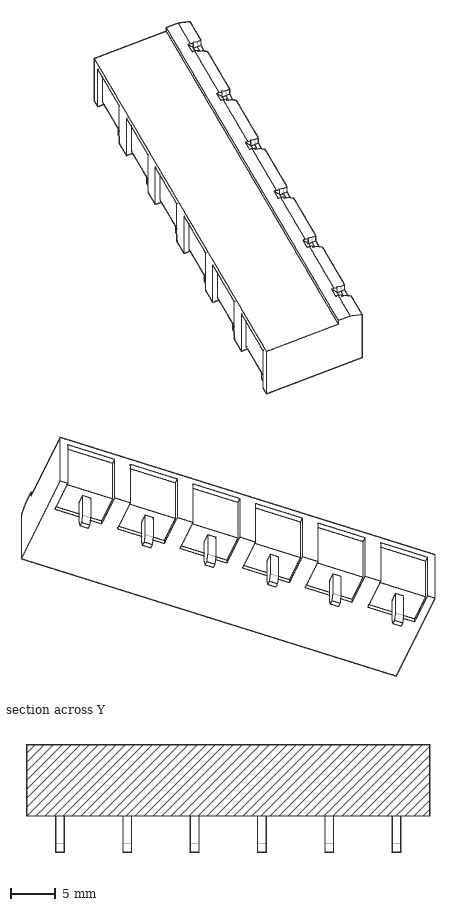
import cadquery as cq

pole_count = 6
pitch = 7.62
pole_positions = [pole * pitch for pole in range(pole_count)]

end_margin = 3.78
housing_depth = 12.0
housing_height = 8.8
front_y = -1.95
back_y = front_y + housing_depth
left_x = -end_margin
housing_length = pole_positions[-1] + 2 * end_margin

ridge_width = 3.0
ridge_height = 0.7
bevel_run = 1.5
bevel_drop = 0.6
deck_z = housing_height - ridge_height

pocket_width = 5.7
pocket_top_z = 7.15
pocket_depth = 0.6
recess_height = 0.55
recess_depth = 4.0

pin_width = 1.0
pin_thickness = 1.1
pin_length = 4.1
pin_tip_length = 1.0
pin_tip_thickness = 0.5

notch_width = 1.4
notch_floor_z = 7.4
notch_floor_sag = 0.08
notch_end_y = back_y - 1.1
mouth_width = 1.75
mouth_length = 0.55
mouth_floor_drop = 0.22
ramp_start_z = 7.8
ramp_width = 1.1
ramp_end_y = back_y - 1.8


def make_housing():
    """Extrude the side profile along X."""
    ridge_front_y = back_y - ridge_width
    return (
        cq.Workplane("YZ", origin=(left_x, 0, 0))
        .moveTo(front_y, 0)
        .lineTo(back_y, 0)
        .lineTo(back_y, housing_height - bevel_drop)
        .lineTo(back_y - bevel_run, housing_height)
        .lineTo(ridge_front_y, housing_height)
        .lineTo(ridge_front_y, deck_z)
        .lineTo(front_y, deck_z)
        .close()
        .extrude(housing_length)
    )


def make_front_box(x, height, depth):
    """Box of pocket width that starts at the front face and the underside."""
    return cq.Workplane("XY").box(
        pocket_width, depth, height, centered=(True, False, False)
    ).translate((x, front_y, 0))


def notch_section(workplane, width, floor_z):
    """Upright slot section with a hollow arc floor, open through the ridge top."""
    half_width = width / 2
    edge_z = floor_z + notch_floor_sag
    return (
        workplane.moveTo(-half_width, housing_height)
        .lineTo(-half_width, edge_z)
        .threePointArc((0, floor_z), (half_width, edge_z))
        .lineTo(half_width, housing_height)
        .close()
    )


def make_notch(x):
    """Cutter for one probe notch."""
    back_plane = cq.Workplane("XZ", origin=(0, back_y, 0))
    slot = notch_section(back_plane, notch_width, notch_floor_z).extrude(back_y - notch_end_y)
    mouth = notch_section(back_plane, mouth_width, notch_floor_z - mouth_floor_drop)
    mouth = notch_section(mouth.workplane(offset=mouth_length), notch_width, notch_floor_z)
    mouth = mouth.loft(ruled=True)
    ramp = (
        cq.Workplane("YZ", origin=(-ramp_width / 2, 0, 0))
        .moveTo(notch_end_y, ramp_start_z)
        .lineTo(notch_end_y, housing_height)
        .lineTo(ramp_end_y, housing_height)
        .close()
        .extrude(ramp_width)
    )
    return slot.union(mouth).union(ramp).translate((x, 0, 0))


def make_pin(x):
    """Flat pin from the recess ceiling down to a tip tapered in Y."""
    half_thickness = pin_thickness / 2
    half_tip = pin_tip_thickness / 2
    shoulder_z = pin_tip_length - pin_length
    return (
        cq.Workplane("YZ", origin=(x - pin_width / 2, 0, 0))
        .moveTo(-half_thickness, recess_height)
        .lineTo(-half_thickness, shoulder_z)
        .lineTo(-half_tip, -pin_length)
        .lineTo(half_tip, -pin_length)
        .lineTo(half_thickness, shoulder_z)
        .lineTo(half_thickness, recess_height)
        .close()
        .extrude(pin_width)
    )


result = make_housing()
for pole_x in pole_positions:
    result = result.cut(make_front_box(pole_x, pocket_top_z, pocket_depth))
    result = result.cut(make_front_box(pole_x, recess_height, recess_depth))
    result = result.cut(make_notch(pole_x))
    result = result.union(make_pin(pole_x))